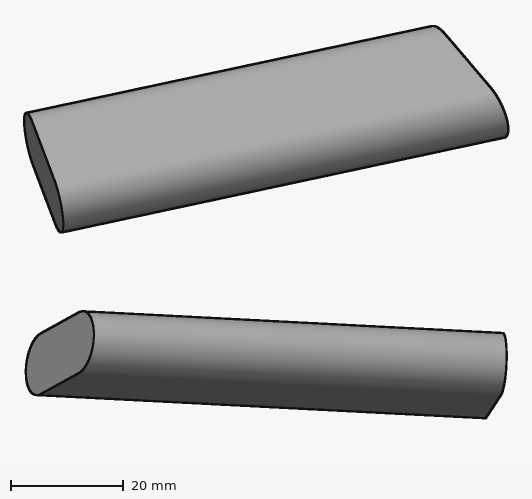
import cadquery as cq

length = 82.0
width = 25.4
thickness = 11.2
end_drop = 7.6


def rounded_bar():
    """Bar of stadium section running along +Y from the square end."""
    return cq.Workplane("XZ").slot2D(width, thickness).extrude(-length)


def slanted_end_cutter():
    """Triangular wedge that trims the far end at an angle."""
    return (
        cq.Workplane("XY")
        .moveTo(-width / 2, length - end_drop)
        .lineTo(width / 2, length)
        .lineTo(-width / 2, length)
        .close()
        .extrude(thickness / 2, both=True)
    )


result = rounded_bar().cut(slanted_end_cutter())